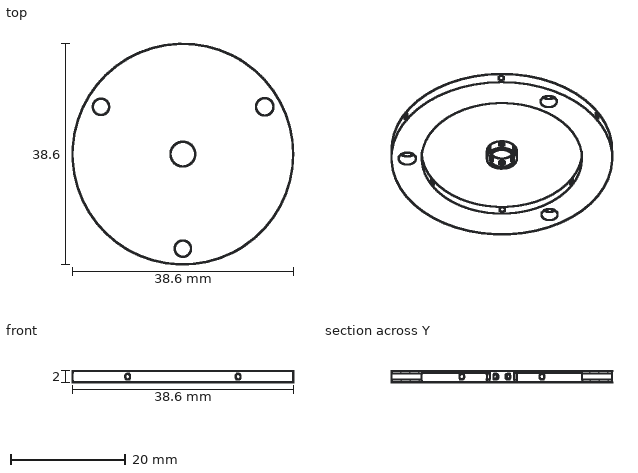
import cadquery as cq
import math

disc_diameter = 38.6
thickness = 2.0
bore_diameter = 4.3

mount_circle_radius = 16.52
mount_hole_diameter = 2.8
large_mount_hole_diameter = 3.0
mount_holes = [
    (30, large_mount_hole_diameter),
    (150, mount_hole_diameter),
    (270, mount_hole_diameter),
]

hub_diameter = 5.3
pocket_diameter = 28.02
skin_thickness = 0.4
pocket_depth = thickness - skin_thickness

radial_hole_diameter = 1.0
radial_hole_count = 6
closed_hole_angle = 0
closed_hole_wall = 0.08


def axial_hole(radius, angle, diameter):
    """Cylinder through the disc, centred at a polar position."""
    x = radius * math.cos(math.radians(angle))
    y = radius * math.sin(math.radians(angle))
    return cq.Workplane("XY").center(x, y).circle(diameter / 2).extrude(thickness)


def radial_hole(angle, length):
    """Cylinder from the disc axis outward to the given length."""
    hole = (
        cq.Workplane("YZ")
        .center(0, thickness / 2)
        .circle(radial_hole_diameter / 2)
        .extrude(length)
    )
    return hole.rotate((0, 0, 0), (0, 0, 1), angle)


result = cq.Workplane("XY").circle(disc_diameter / 2).extrude(thickness)

pocket = (
    cq.Workplane("XY")
    .circle(pocket_diameter / 2)
    .circle(hub_diameter / 2)
    .extrude(pocket_depth)
)
result = result.cut(pocket)
result = result.cut(axial_hole(0, 0, bore_diameter))

for hole_angle, hole_diameter in mount_holes:
    result = result.cut(axial_hole(mount_circle_radius, hole_angle, hole_diameter))

for index in range(radial_hole_count):
    hole_angle = index * 360 / radial_hole_count
    end_wall = closed_hole_wall if hole_angle == closed_hole_angle else 0
    result = result.cut(radial_hole(hole_angle, disc_diameter / 2 - end_wall))